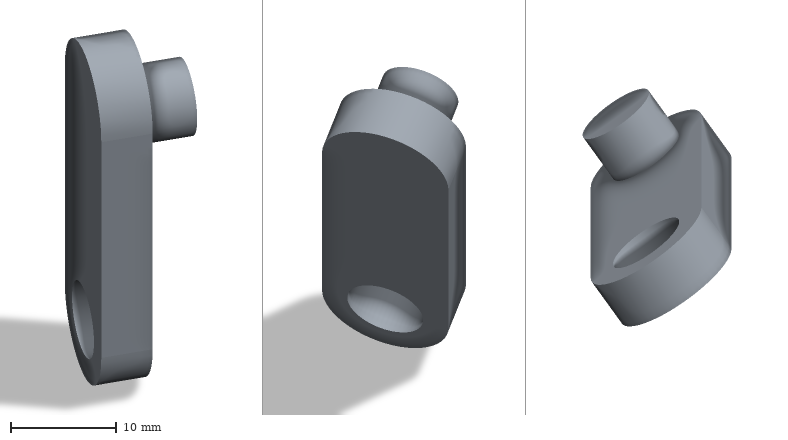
import cadquery as cq

link_length = 38.1
link_width = 12.7
link_thickness = 5.05
end_center_offset = (link_length - link_width) / 2

hole_diameter = 7.62
hole_z = -end_center_offset

pin_diameter = 7.62
pin_length = 5.1
pin_drop = 1.15
pin_z = end_center_offset - pin_drop


def cylinder_along_y(diameter, start_y, length, center_z):
    """Cylinder running from start_y toward +Y, centered on X = 0."""
    return (
        cq.Workplane("XZ", origin=(0, start_y, center_z))
        .circle(diameter / 2)
        .extrude(-length)
    )


plate = cq.Workplane("XZ").slot2D(link_length, link_width, 90).extrude(-link_thickness)
hole = cylinder_along_y(hole_diameter, 0, link_thickness, hole_z)
pin = cylinder_along_y(pin_diameter, link_thickness, pin_length, pin_z)

result = plate.cut(hole).union(pin)